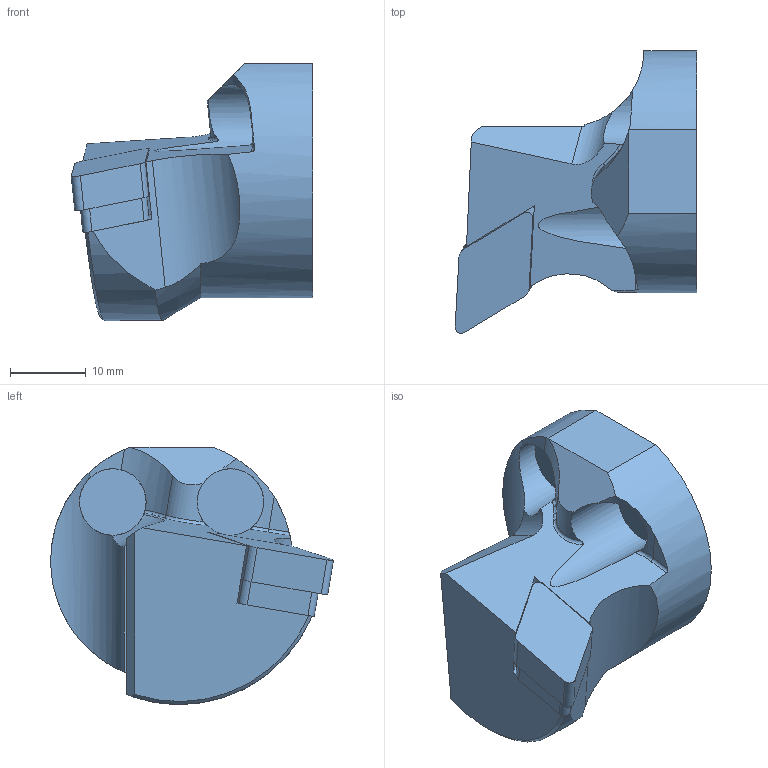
import cadquery as cq
import math


OVERSIZE = 60.0

shank_radius = 16.0
top_flat_z = 15.0
bevel_start_x = -9.0

head_radius = 19.0
head_y = -1.0
cone_end_x = -14.8
cone_slope = 0.6
head_front_x = -30.0
front_edge_chamfer = 0.4
front_relief = 5.2
front_side_tilt = 3.5
side_corner_chamfer = 1.1

rake_height = 6.75
axial_rake = 5.8
radial_rake = 9.5

side_y = 6.0
side_runout_radius = 10.0
side_runout_end_x = -7.0

insert_tip = (-32.02, -22.04)
insert_width = 9.525
insert_angle = 55.0
cutting_edge_angle = 86.0
corner_radius = 0.8
blunt_corner_radius = 1.4
insert_thickness = 4.6
insert_lift = 0.08
pocket_gap = 0.1
shim_thickness = 3.2
shim_setback = 1.2
shim_inset = 0.3

flank_radius = 8.4
flank_centre = (-16.8, -21.8)

side_bevel_start = (-29.8, 3.9)
side_bevel_end = (-16.5, 1.0)
side_bevel_angle = 42.0
side_bevel_runout = 4.0

wall_fillet = 0.4
wall_arc_radius = 10.0
wall_x = -7.7
wall_arc_start_y = -12.8
wall_arc_sweep = 54.0
nose_end = (-12.15, 0.8)
back_arc_end = (-8.0, 7.5)

bore_diameter = 8.8
bore_circle_radius = 11.0
bore_angle = 45.0
bore_bottom_x = -4.8

tan_axial = math.tan(math.radians(axial_rake))
tan_radial = math.tan(math.radians(radial_rake))
rake_normal = cq.Vector(-tan_axial, -tan_radial, 1).normalized()
rake = cq.Plane(origin=(0, 0, rake_height), xDir=(1, 0, tan_axial), normal=rake_normal.toTuple())


def rake_point(x, y):
    """Point of the rake face above (x, y) in space."""
    return cq.Vector(x, y, rake_height + tan_axial * x + tan_radial * y)


def on_rake(x, y):
    """Rake plane coordinates of the rake face point above (x, y)."""
    local = rake.toLocalCoords(rake_point(x, y))
    return (local.x, local.y)


def polar(angle, length):
    """Plane vector of the given direction in degrees and length."""
    return (length * math.cos(math.radians(angle)), length * math.sin(math.radians(angle)))


def shifted(point, vector):
    return (point[0] + vector[0], point[1] + vector[1])


insert_side = insert_width / math.sin(math.radians(insert_angle))
clearance_edge_angle = cutting_edge_angle - insert_angle
inner_corner = shifted(
    shifted(on_rake(*insert_tip), polar(cutting_edge_angle, insert_side)),
    polar(clearance_edge_angle, insert_side),
)


def insert_point(back_along_cutting, back_along_clearance):
    """Rake plane point at the given distances from the insert's inner corner along its two sides."""
    point = shifted(inner_corner, polar(cutting_edge_angle, -back_along_cutting))
    return shifted(point, polar(clearance_edge_angle, -back_along_clearance))


def rhombus(near, far, bottom, height):
    """Rhombic prism along the rake normal, from `near` to `far` along both inner sides."""
    corners = [insert_point(near, near), insert_point(far, near)]
    corners += [insert_point(far, far), insert_point(near, far)]
    return cq.Workplane(rake).workplane(offset=bottom).polyline(corners).close().extrude(height)


def rounded_rhombus(near, far, bottom, height):
    """Rhombic prism with its upright corners rounded."""
    prism = rhombus(near, far, bottom, height)
    for ends, radius in (
        ((near, near), corner_radius),
        ((far, far), corner_radius),
        ((near, far), blunt_corner_radius),
        ((far, near), blunt_corner_radius),
    ):
        corner = rake.toWorldCoords((*insert_point(*ends), bottom + height / 2))
        nearest = cq.selectors.NearestToPointSelector(corner.toTuple())
        prism = prism.edges(nearest).fillet(radius)
    return prism.solids()


insert_bottom = insert_lift - insert_thickness
shim_bottom = insert_bottom - shim_thickness


def make_insert():
    return rounded_rhombus(0, insert_side, insert_bottom, insert_thickness)


def make_shim():
    near = shim_inset / math.sin(math.radians(insert_angle))
    far = near + insert_side - shim_setback
    return rounded_rhombus(near, far, shim_bottom, shim_thickness)


def make_pocket():
    beyond_corner = pocket_gap / math.sin(math.radians(insert_angle))
    return rhombus(-beyond_corner, OVERSIZE, shim_bottom, OVERSIZE)


def make_shank():
    shank = cq.Workplane("YZ").circle(shank_radius).extrude(cone_end_x)
    above_flat = cq.Workplane("XY").workplane(offset=top_flat_z).rect(OVERSIZE, OVERSIZE).extrude(OVERSIZE)
    return shank.cut(above_flat)


def make_head():
    length = OVERSIZE + cone_end_x
    head = (
        cq.Workplane("YZ", origin=(cone_end_x, 0, 0))
        .center(head_y, 0).circle(head_radius).extrude(-length)
    )
    cone = (
        cq.Workplane("XZ")
        .moveTo(cone_end_x, 0)
        .lineTo(cone_end_x, shank_radius)
        .lineTo(cone_end_x - length, shank_radius + cone_slope * length)
        .lineTo(cone_end_x - length, 0)
        .close()
        .revolve(360, (0, 0, 0), (1, 0, 0))
    )
    side_slope = math.tan(math.radians(front_side_tilt))
    relief_slope = math.tan(math.radians(front_relief))
    front_normal = cq.Vector(-1, side_slope, -relief_slope)
    front_point = cq.Vector(head_front_x, 0, rake_point(head_front_x, 0).z)
    front_plane = cq.Plane(origin=front_point.toTuple(), xDir=(0, 0, 1), normal=front_normal.toTuple())
    ahead = cq.Workplane(front_plane).rect(2 * OVERSIZE, 2 * OVERSIZE).extrude(OVERSIZE)
    head = head.cut(ahead).faces("<X").edges().chamfer(front_edge_chamfer)

    beside = cq.Workplane("XY").box(
        2 * OVERSIZE, OVERSIZE, 2 * OVERSIZE, centered=(True, False, True)
    ).translate((0, side_y, 0))
    head = head.cut(beside)
    corner = cq.selectors.NearestToPointSelector((head_front_x, side_y, 0))
    return head.edges(corner).chamfer(side_corner_chamfer).intersect(cone)


def cut_bevel(body):
    """45 degree bevel between the top flat and the shoulder wall."""
    cutter = (
        cq.Workplane("XZ", origin=(0, OVERSIZE, 0))
        .moveTo(bevel_start_x + OVERSIZE, top_flat_z + OVERSIZE)
        .lineTo(bevel_start_x - OVERSIZE, top_flat_z - OVERSIZE)
        .lineTo(bevel_start_x - OVERSIZE, top_flat_z + OVERSIZE)
        .close()
        .extrude(2 * OVERSIZE)
    )
    return body.cut(cutter)


def cut_side_runout(body):
    """Flat +Y side of the head with its quarter round up to the shank surface."""
    outer_y = side_y + side_runout_radius
    runout_start_x = side_runout_end_x - side_runout_radius
    cutter = (
        cq.Workplane("XY", origin=(0, 0, -OVERSIZE))
        .moveTo(-OVERSIZE, side_y)
        .lineTo(runout_start_x, side_y)
        .radiusArc((side_runout_end_x, outer_y), -side_runout_radius)
        .lineTo(side_runout_end_x, OVERSIZE)
        .lineTo(-OVERSIZE, OVERSIZE)
        .close()
        .extrude(2 * OVERSIZE)
    )
    return body.cut(cutter)


def cut_chip_space(body):
    """Everything above the rake face, back to the curved shoulder wall."""
    wall_start = on_rake(wall_x, wall_arc_start_y)
    arc_centre = shifted(wall_start, (-wall_arc_radius, 0))
    arc_mid = shifted(arc_centre, polar(wall_arc_sweep / 2, wall_arc_radius))
    arc_end = shifted(arc_centre, polar(wall_arc_sweep, wall_arc_radius))
    back_end = on_rake(*back_arc_end)
    cutter = (
        cq.Workplane(rake)
        .moveTo(wall_start[0], -OVERSIZE)
        .lineTo(*wall_start)
        .threePointArc(arc_mid, arc_end)
        .tangentArcPoint(on_rake(*nose_end), relative=False)
        .tangentArcPoint(back_end, relative=False)
        .lineTo(back_end[0], OVERSIZE)
        .lineTo(-OVERSIZE, OVERSIZE)
        .lineTo(-OVERSIZE, -OVERSIZE)
        .close()
        .extrude(OVERSIZE)
    )
    floor = cq.selectors.DirectionMinMaxSelector(rake_normal, False)
    return body.cut(cutter.faces(floor).edges().fillet(wall_fillet))


def cut_side_bevel(body):
    """Bevel beside the rake face, sweeping up in a round at its rear end."""
    cutter_length = 2 * side_y
    start = rake_point(*side_bevel_start)
    end = rake_point(*side_bevel_end)
    along = (end - start).normalized()
    across = rake_normal.cross(along)
    angle = math.radians(side_bevel_angle)
    downhill = across * math.cos(angle) - rake_normal * math.sin(angle)
    plane = cq.Plane(origin=end.toTuple(), xDir=along.toTuple(), normal=downhill.toTuple())
    radius = side_bevel_runout
    cutter = (
        cq.Workplane(plane)
        .moveTo(-OVERSIZE, 0)
        .lineTo(0, 0)
        .radiusArc((radius, -radius), radius)
        .lineTo(-OVERSIZE, -radius)
        .close()
        .extrude(cutter_length)
    )
    return body.cut(cutter)


def cut_flank(body):
    """Hollow flank: a flat below the insert's clearance side running into a round."""
    centre = on_rake(*flank_centre)
    tangent_point = shifted(centre, polar(clearance_edge_angle + 90, flank_radius))
    outer_point = shifted(tangent_point, polar(clearance_edge_angle, -OVERSIZE))
    arc_mid = shifted(centre, polar(clearance_edge_angle, flank_radius))
    arc_end = shifted(centre, (flank_radius, 0))
    cutter = (
        cq.Workplane(rake).workplane(offset=-OVERSIZE)
        .moveTo(*outer_point)
        .lineTo(*tangent_point)
        .threePointArc(arc_mid, arc_end)
        .lineTo(arc_end[0], outer_point[1])
        .close()
        .extrude(2 * OVERSIZE)
    )
    return body.cut(cutter)


def cut_bores(body):
    bore_y, bore_z = polar(bore_angle, bore_circle_radius)
    bores = (
        cq.Workplane("YZ", origin=(bore_bottom_x, 0, 0))
        .pushPoints([(bore_y, bore_z), (-bore_y, bore_z)])
        .circle(bore_diameter / 2)
        .extrude(-OVERSIZE)
    )
    return body.cut(bores)


def make_holder():
    body = cut_bevel(make_shank()).union(make_head())
    body = cut_side_runout(body)
    body = cut_chip_space(body)
    body = cut_side_bevel(body)
    body = cut_flank(body)
    body = cut_bores(body)
    body = body.cut(make_pocket())
    body = body.union(make_shim())
    return body.solids()


holder = make_holder()
insert = make_insert()

result = cq.Compound.makeCompound([holder.val(), insert.val()])